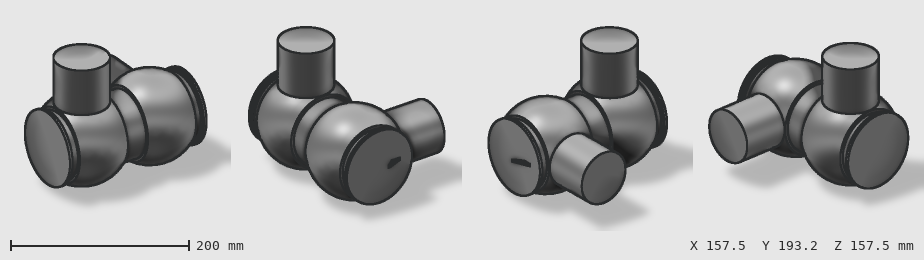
import cadquery as cq
import math

ball_radius = 55.5
ball_half_width = 32.5
ball_spacing = 92.2
neck_radius = 41.2

branch_radius = 31.9
branch_reach = 102.0

flange_radius = 45.6
flange_thickness = 3.7
flange_bevel = 1.4
bevel_radius = 43.3
end_reach = 46.4

overall_length = 193.2
tab_left = -31
tab_right = -18.4
tab_tip = -6.8
tab_thickness = 2.9
tab_embed = 1.0

front_end = -end_reach
rear_end = ball_spacing + end_reach


def ball(center_y):
    """Ball with flat faces toward both ends of the Y axis."""
    front = center_y - ball_half_width
    rear = center_y + ball_half_width
    face_radius = math.sqrt(ball_radius**2 - ball_half_width**2)
    return (
        cq.Workplane("XY")
        .moveTo(0, front)
        .lineTo(face_radius, front)
        .threePointArc((ball_radius, center_y), (face_radius, rear))
        .lineTo(0, rear)
        .close()
        .revolve(360, (0, 0, 0), (0, 1, 0))
    )


def branch(plane, center_y, direction):
    """Pipe from a ball centre along the normal of the given plane."""
    origin = (0, center_y, 0)
    return (
        cq.Workplane(plane, origin=origin)
        .circle(branch_radius)
        .extrude(direction * branch_reach)
    )


def run_with_ferrules():
    """Straight neck through both balls with a bevelled flange at each end."""
    front_back = front_end + flange_thickness
    rear_back = rear_end - flange_thickness
    profile = [
        (0, front_end),
        (flange_radius, front_end),
        (flange_radius, front_back),
        (bevel_radius, front_back),
        (neck_radius, front_back + flange_bevel),
        (neck_radius, rear_back - flange_bevel),
        (bevel_radius, rear_back),
        (flange_radius, rear_back),
        (flange_radius, rear_end),
        (0, rear_end),
    ]
    return cq.Workplane("XY").polyline(profile).close().revolve(360, (0, 0, 0), (0, 1, 0))


def pointed_tab():
    """Thin triangular tab rising from the rear flange face."""
    root = rear_end - tab_embed
    tip = front_end + overall_length
    outline = [(tab_left, root), (tab_right, root), (tab_tip, tip)]
    return cq.Workplane("XY").polyline(outline).close().extrude(tab_thickness)


result = run_with_ferrules()
for center in (0, ball_spacing):
    result = result.union(ball(center))
result = result.union(branch("XY", 0, 1))
result = result.union(branch("YZ", ball_spacing, -1))
result = result.union(pointed_tab())